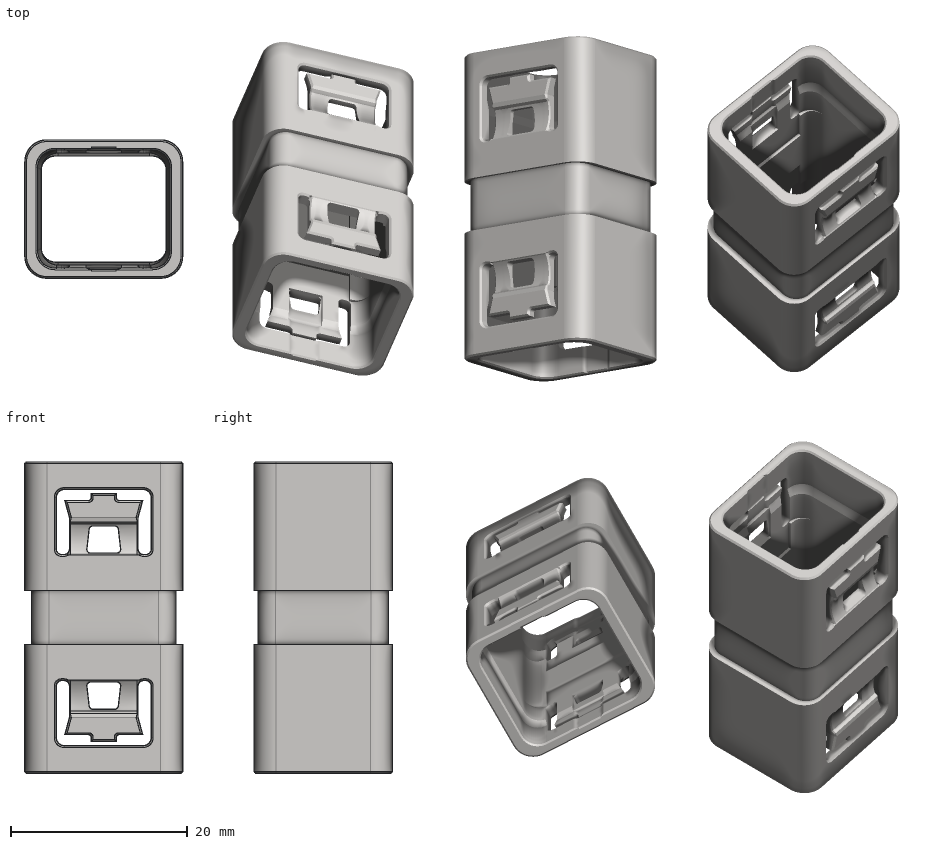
import cadquery as cq
import math

LENGTH = 35.3
BLOCK_X, BLOCK_Y, BLOCK_RADIUS = 17.9, 15.7, 2.5
BLOCK_HEIGHT = 14.6
WAIST_X, WAIST_Y, WAIST_RADIUS = 16.4, 14.8, 2.0
END_CHAMFER = 0.2

BORE_X, BORE_Y, BORE_RADIUS = 14.15, 12.0, 1.6
SEAT_Y = 12.7
SEAT_RADIUS = 1.9
MOUTH_X, MOUTH_Y, MOUTH_RADIUS = 15.0, 13.4, 2.0
MOUTH_CHAMFER = 0.18
LEDGE_TOP_DEPTH = 5.45
LEDGE_BOTTOM_DEPTH = 6.55
SEAT_DEPTH = 10.45
RECESS_X = BORE_X - 2 * SEAT_RADIUS
RECESS_DEPTH = BLOCK_HEIGHT

CHANNEL_DEPTH = 0.15
CHANNEL_FLOOR_X, CHANNEL_TOP_X = 2.8, 4.0
CHANNEL_LOWER_SETBACK = 0.2
CHANNEL_BEVEL_TOP_DEPTH, CHANNEL_BEVEL_BOTTOM_DEPTH = LEDGE_TOP_DEPTH, 5.75

WINDOW_HALF_X = 5.37
WINDOW_TOP_DEPTH = 3.15
WINDOW_BOTTOM_DEPTH = 10.5
WINDOW_RADIUS = 0.9
SLOT_RADIUS = 0.6
WINDOW_CHAMFER = 0.22

ARM_HALF_X = 3.9
HEAD_HALF_X = 4.42
HEAD_TOP_DEPTH = 4.38
HEAD_BOTTOM_DEPTH = 6.3
TAB_HALF_X = 1.43
TAB_TOP_DEPTH = 3.6
TAB_ROOT_RADIUS = 0.3

HOLLOW_RADIUS = 4.0
HOLLOW_DEPTH = 0.7
HOLLOW_TOP_DEPTH = 7.05
HEAD_LIP_DEPTH = 6.8
HEAD_LIP_SETBACK = 0.1
FOOT_SETBACK = 0.1
FOOT_TOP_DEPTH, FOOT_BOTTOM_DEPTH = 10.45, 10.55
ARM_EDGE_CHAMFER = 0.15
HOLLOW_OVERRUN = 0.2

ARM_HOLE_TOP_DEPTH, ARM_HOLE_BOTTOM_DEPTH = 7.28, 10.33
ARM_HOLE_TOP_HALF_X, ARM_HOLE_BOTTOM_HALF_X = 1.6, 1.95
ARM_HOLE_RADIUS = 0.4

TOP_Z = LENGTH / 2
OUTER_Y = -BLOCK_Y / 2
CUT_MARGIN = 1.0
PICK_REACH = 0.1
CUT_REACH = BLOCK_Y / 2 - SEAT_Y / 2 + CUT_MARGIN


def height(depth):
    """Z of a level given as a depth below the upper open end."""
    return TOP_Z - depth


def rounded_bar(size_x, size_y, radius, z_low, z_high):
    bar = cq.Workplane("XY").workplane(offset=z_low).rect(size_x, size_y).extrude(z_high - z_low)
    return bar.edges("|Z").fillet(radius)


def rounded_taper(lower, upper, z_low, z_high):
    """Loft between two rounded rectangles, each given as (size_x, size_y, radius)."""
    outlines = []
    for (size_x, size_y, radius), z in ((lower, z_low), (upper, z_high)):
        outline = cq.Sketch().rect(size_x, size_y).vertices().fillet(radius)
        outlines.append(outline.moved(cq.Location(cq.Vector(0, 0, z))))
    return cq.Workplane("XY").placeSketch(*outlines).loft()


def make_shell():
    waist_end = height(BLOCK_HEIGHT)
    waist = rounded_bar(WAIST_X, WAIST_Y, WAIST_RADIUS, -waist_end, waist_end)
    block = rounded_bar(BLOCK_X, BLOCK_Y, BLOCK_RADIUS, waist_end, TOP_Z)
    block = block.faces(">Z").edges().chamfer(END_CHAMFER)
    return waist.union(block).union(block.mirror("XY"))


def make_mouth():
    """Everything removed from inside the upper end, except the guide channels."""
    mouth = (MOUTH_X, MOUTH_Y, MOUTH_RADIUS)
    seat = (BORE_X, SEAT_Y, SEAT_RADIUS)
    rim = (MOUTH_X + 2 * MOUTH_CHAMFER, MOUTH_Y + 2 * MOUTH_CHAMFER, MOUTH_RADIUS + MOUTH_CHAMFER)
    ledge_top, ledge_bottom = height(LEDGE_TOP_DEPTH), height(LEDGE_BOTTOM_DEPTH)
    cutter = rounded_bar(*mouth, ledge_top, TOP_Z)
    cutter = cutter.union(rounded_bar(*seat, height(SEAT_DEPTH), ledge_bottom))
    cutter = cutter.union(rounded_taper(seat, mouth, ledge_bottom, ledge_top))
    recess = cq.Workplane("XY").workplane(offset=height(RECESS_DEPTH)).rect(RECESS_X, SEAT_Y)
    cutter = cutter.union(recess.extrude(RECESS_DEPTH - LEDGE_BOTTOM_DEPTH))
    return cutter.union(rounded_taper(mouth, rim, height(MOUTH_CHAMFER), TOP_Z))


def make_channel():
    """Shallow groove with S-shaped flanks down the -Y wall from the rim to the foot of the arm hole."""
    mouth_floor = -MOUTH_Y / 2 - CHANNEL_DEPTH
    lower_floor = mouth_floor + CHANNEL_LOWER_SETBACK
    side = [
        (0, TOP_Z),
        (mouth_floor - MOUTH_CHAMFER, TOP_Z),
        (mouth_floor, height(MOUTH_CHAMFER)),
        (mouth_floor, height(CHANNEL_BEVEL_TOP_DEPTH)),
        (lower_floor, height(CHANNEL_BEVEL_BOTTOM_DEPTH)),
        (lower_floor, height(ARM_HOLE_BOTTOM_DEPTH)),
        (0, height(ARM_HOLE_BOTTOM_DEPTH)),
    ]
    groove = cq.Workplane("YZ").polyline(side).close().extrude(CHANNEL_TOP_X / 2, both=True)
    floor_half, top_half = CHANNEL_FLOOR_X / 2, CHANNEL_TOP_X / 2
    mouth_wall = -MOUTH_Y / 2
    bend = ((floor_half + top_half) / 2, (mouth_floor + mouth_wall) / 2)
    half_plan = (
        cq.Workplane("XY")
        .moveTo(0, mouth_floor)
        .lineTo(floor_half, mouth_floor)
        .tangentArcPoint(bend, relative=False)
        .tangentArcPoint((top_half, mouth_wall), relative=False)
        .lineTo(top_half, 0)
        .lineTo(0, 0)
        .close()
        .extrude(TOP_Z)
    )
    floor_strip = cq.Workplane("XY").box(CHANNEL_FLOOR_X, BLOCK_Y, TOP_Z, centered=(True, True, False))
    flanks = half_plan.union(half_plan.mirror("YZ")).union(floor_strip)
    return groove.intersect(flanks)


def mirrored_outline(half):
    """Closed symmetric outline from its +X half, listed from top to bottom."""
    return half + [(-x, z) for x, z in reversed(half)] + half[:1]


def window_outline():
    """Outline of the window opening around the latch, drawn in X and Z."""
    top, bottom = height(WINDOW_TOP_DEPTH), height(WINDOW_BOTTOM_DEPTH)
    latch = [
        (TAB_HALF_X, height(TAB_TOP_DEPTH)),
        (TAB_HALF_X, height(HEAD_TOP_DEPTH)),
        (HEAD_HALF_X, height(HEAD_TOP_DEPTH)),
        (ARM_HALF_X, height(HEAD_BOTTOM_DEPTH)),
        (ARM_HALF_X, bottom),
    ]
    opening = [(WINDOW_HALF_X, top), (WINDOW_HALF_X, bottom)]
    outline = cq.Sketch().polygon(mirrored_outline(opening))
    outline = outline.polygon(mirrored_outline(latch), mode="s").reset()
    slot_width = WINDOW_HALF_X - ARM_HALF_X
    round_corners(outline, WINDOW_RADIUS, WINDOW_HALF_X, top)
    round_corners(outline, SLOT_RADIUS, (WINDOW_HALF_X + ARM_HALF_X) / 2, bottom, slot_width)
    round_corners(outline, TAB_ROOT_RADIUS, TAB_HALF_X, height(HEAD_TOP_DEPTH))
    return outline


def round_corners(outline, radius, x, z, reach=PICK_REACH):
    """Fillet the outline corners whose X lies within reach of x or -x, at level z."""
    for side in (-1, 1):
        low = (side * x - reach, z - PICK_REACH, -PICK_REACH)
        high = (side * x + reach, z + PICK_REACH, PICK_REACH)
        outline.vertices(cq.selectors.BoxSelector(low, high)).fillet(radius).reset()


def make_window():
    outline = window_outline()
    straight = (
        cq.Workplane("XZ", origin=(0, OUTER_Y + CUT_REACH, 0)).placeSketch(outline).extrude(CUT_REACH)
    )
    flare = (
        cq.Workplane("XZ", origin=(0, OUTER_Y + WINDOW_CHAMFER, 0))
        .placeSketch(outline)
        .extrude(WINDOW_CHAMFER, taper=-45)
    )
    return straight.union(flare)


def hollow_profile(x):
    """Side section of the hollow, from the foot of the arm to the underside of the latch head."""
    deepest_y = OUTER_Y + HOLLOW_DEPTH
    axis_y = deepest_y - HOLLOW_RADIUS
    foot_y, foot_z = OUTER_Y + FOOT_SETBACK, height(FOOT_TOP_DEPTH)
    axis_z = foot_z + math.sqrt(HOLLOW_RADIUS**2 - (foot_y - axis_y) ** 2)
    top = height(HOLLOW_TOP_DEPTH)
    top_y = axis_y + math.sqrt(HOLLOW_RADIUS**2 - (top - axis_z) ** 2)
    return (
        cq.Workplane("YZ", origin=(x, 0, 0))
        .moveTo(OUTER_Y, height(FOOT_BOTTOM_DEPTH))
        .lineTo(foot_y, foot_z)
        .threePointArc((deepest_y, axis_z), (top_y, top))
        .lineTo(OUTER_Y + HEAD_LIP_SETBACK, height(HEAD_LIP_DEPTH))
        .lineTo(OUTER_Y, height(HEAD_BOTTOM_DEPTH))
        .close()
    )


def make_hollow():
    """Concave cut across the outside of the arm, widening over its last bit to bevel the arm's sides."""
    middle_half = ARM_HALF_X - ARM_EDGE_CHAMFER
    middle = hollow_profile(0).extrude(middle_half, both=True)
    bevel = hollow_profile(middle_half).extrude(ARM_EDGE_CHAMFER + HOLLOW_OVERRUN, taper=-45)
    limit = cq.Workplane("XY").workplane(offset=height(FOOT_BOTTOM_DEPTH)).rect(BLOCK_X, 2 * BLOCK_Y)
    bevel = bevel.intersect(limit.extrude(BLOCK_HEIGHT))
    return middle.union(bevel).union(bevel.mirror("YZ"))


def make_arm_hole():
    half = [
        (ARM_HOLE_TOP_HALF_X, height(ARM_HOLE_TOP_DEPTH)),
        (ARM_HOLE_BOTTOM_HALF_X, height(ARM_HOLE_BOTTOM_DEPTH)),
    ]
    hole = cq.Workplane("XZ", origin=(0, OUTER_Y + CUT_REACH, 0)).polyline(mirrored_outline(half))
    return hole.wire().extrude(CUT_REACH).edges("|Y").fillet(ARM_HOLE_RADIUS)


def make_part():
    part = make_shell().cut(rounded_bar(BORE_X, BORE_Y, BORE_RADIUS, -TOP_Z, TOP_Z))
    mouth = make_mouth()
    part = part.cut(mouth).cut(mouth.mirror("XY"))
    for cutter in (make_channel(), make_window(), make_hollow(), make_arm_hole()):
        for front_or_back in (cutter, cutter.mirror("XZ")):
            part = part.cut(front_or_back).cut(front_or_back.mirror("XY"))
    return part.solids()


result = make_part()